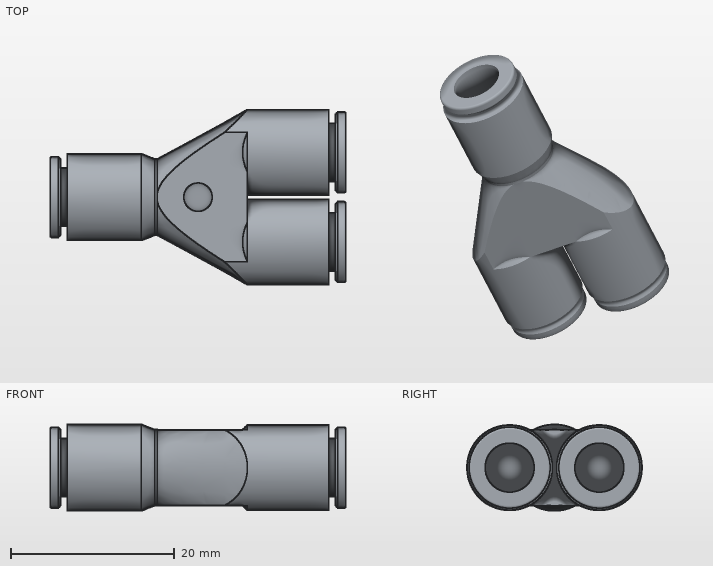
import cadquery as cq

total_length = 36.3

collet_radius = 4.97
collet_thickness = 1.3
collet_edge_fillet = 0.3
collet_back_chamfer = 0.33
collet_neck_radius = 3.6
barrel_setback = 2.1
bore_radius = 3.0
bore_depth = 10.0

inlet_diameter = 10.65
inlet_radius = inlet_diameter / 2
inlet_shoulder_x = 11.2
throat_start_x = 12.8
throat_end_x = 13.18
throat_radius = 4.7

overall_width = 21.5
outlet_diameter = 10.5
outlet_radius = outlet_diameter / 2
outlet_offset = overall_width / 2 - outlet_radius
outlet_start_x = 24.2

flat_half_height = 4.65
outlet_chamfer = outlet_radius - flat_half_height

recess_radius = 1.75
recess_x = 18.15
recess_depth = 0.4


def make_collet():
    """Collet with its neck along +X, outer face at x = 0."""
    flange = cq.Workplane("YZ").circle(collet_radius).extrude(collet_thickness)
    flange = flange.faces("<X").edges().fillet(collet_edge_fillet)
    flange = flange.faces(">X").edges().chamfer(collet_back_chamfer)
    neck = cq.Workplane("YZ").circle(collet_neck_radius).extrude(barrel_setback)
    return flange.union(neck)


def make_bore():
    return cq.Workplane("YZ").circle(bore_radius).extrude(bore_depth)


def mirror_y(shape):
    """Mirror image on the other side of the XZ plane."""
    return shape.mirror("XZ")


def at_outlet(shape):
    """Turn an inlet-facing shape around and move it to the -Y outlet."""
    turned = shape.rotate((0, 0, 0), (0, 0, 1), 180)
    return turned.translate((total_length, -outlet_offset, 0))


def outlet_cylinder(start_x, end_x):
    """Plain cylinder on the axis of the -Y outlet."""
    return (
        cq.Workplane("YZ", origin=(start_x, -outlet_offset, 0))
        .circle(outlet_radius)
        .extrude(end_x - start_x)
    )


def make_inlet():
    """Barrel, tapered shoulder and short throat."""
    return (
        cq.Workplane("XY")
        .moveTo(barrel_setback, 0)
        .lineTo(barrel_setback, inlet_radius)
        .lineTo(inlet_shoulder_x, inlet_radius)
        .lineTo(throat_start_x, throat_radius)
        .lineTo(throat_end_x, throat_radius)
        .lineTo(throat_end_x, 0)
        .close()
        .revolve(360, (0, 0, 0), (1, 0, 0))
    )


def make_outlet_barrel():
    """The -Y barrel, its inner end chamfered down to the height of the flats."""
    barrel = outlet_cylinder(outlet_start_x - outlet_chamfer, total_length - barrel_setback)
    return barrel.faces("<X").edges().chamfer(outlet_chamfer)


def make_junction():
    """Cone widening to the outlets, trimmed to their joint outline and by the two flats."""
    length = outlet_start_x - throat_end_x
    cone = (
        cq.Workplane("XZ")
        .moveTo(throat_end_x, 0)
        .lineTo(throat_end_x, throat_radius)
        .lineTo(outlet_start_x, overall_width / 2)
        .lineTo(outlet_start_x, 0)
        .close()
        .revolve(360, (0, 0, 0), (1, 0, 0))
    )
    web = (
        cq.Workplane("YZ", origin=(throat_end_x, 0, 0))
        .rect(2 * outlet_offset, outlet_diameter)
        .extrude(length)
    )
    outlet = outlet_cylinder(throat_end_x, outlet_start_x)
    outline = web.union(outlet).union(mirror_y(outlet))
    flats = (
        cq.Workplane("YZ", origin=(throat_end_x, 0, 0))
        .rect(overall_width, 2 * flat_half_height)
        .extrude(length)
    )
    return cone.intersect(outline).intersect(flats)


def make_recess():
    return (
        cq.Workplane("XY", origin=(recess_x, 0, flat_half_height - recess_depth))
        .circle(recess_radius)
        .extrude(2 * recess_depth)
    )


collet = make_collet()
bore = make_bore()
outlet = make_outlet_barrel().union(at_outlet(collet))
outlet_bore = at_outlet(bore)

result = make_inlet().union(collet).union(make_junction())
result = result.union(outlet).union(mirror_y(outlet))
result = result.cut(make_recess())
result = result.cut(bore).cut(outlet_bore).cut(mirror_y(outlet_bore))